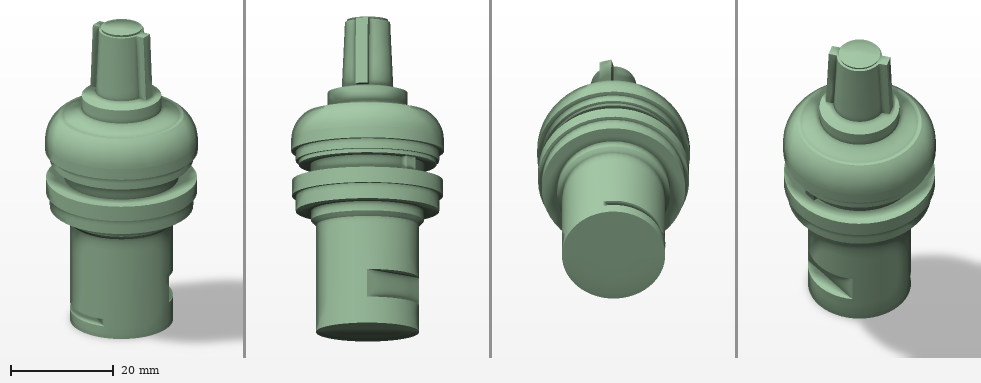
import cadquery as cq
import math

total_height = 62.05
cap_rim_z = 61.7
stem_top_z = 61.2
stem_bottom_z = 48.15
collar_top_z = 47.35
collar_bottom_z = 44.6
dome_top_z = 43.2
dome_bottom_z = 38.0
head_bottom_z = 35.75
upper_step_z = 33.8
lower_step_z = 33.1
flange_top_z = 30.0
flange_mid_z = 26.95
flange_bottom_z = 23.9
neck_chamfer_z = 22.05

cap_radius = 4.05
cap_neck_radius = 3.85
stem_top_radius = 4.4
stem_bottom_radius = 5.0
collar_radius = 7.75
cone_radius = 11.35
dome_top_radius = 12.1
head_radius = 14.865
upper_step_radius = 13.95
lower_step_radius = 13.4
groove_radius = 11.1
flange_radius = 14.7
flange_step_radius = 13.95
neck_radius = 11.0
body_radius = 10.05
neck_chamfer = neck_radius - body_radius

blade_width = 2.35
blade_angle = 36.0
blade_top_reach = 5.9
blade_bottom_reach = 6.45

tab_width = 2.5
tab_reach = 12.35
tab_bottom_z = 30.4

front_slot_bottom_z = 2.4
front_slot_height = 1.5
front_slot_floor = 6.45
rear_notch_bottom_z = 5.15
rear_notch_height = 5.45
rear_notch_floor = 7.25


def turned_body():
    dome_inset = head_radius - dome_top_radius
    dome_rise = dome_top_z - dome_bottom_z
    arc_radius = (dome_inset**2 + dome_rise**2) / (2 * dome_inset)
    half_sweep = math.asin(dome_rise / arc_radius) / 2
    dome_mid = (
        head_radius - arc_radius * (1 - math.cos(half_sweep)),
        dome_bottom_z + arc_radius * math.sin(half_sweep),
    )
    return (
        cq.Workplane("XZ")
        .moveTo(0, 0)
        .lineTo(body_radius, 0)
        .lineTo(body_radius, neck_chamfer_z - neck_chamfer)
        .lineTo(neck_radius, neck_chamfer_z)
        .lineTo(neck_radius, flange_bottom_z)
        .lineTo(flange_step_radius, flange_bottom_z)
        .lineTo(flange_step_radius, flange_mid_z)
        .lineTo(flange_radius, flange_mid_z)
        .lineTo(flange_radius, flange_top_z)
        .lineTo(groove_radius, flange_top_z)
        .lineTo(groove_radius, lower_step_z)
        .lineTo(lower_step_radius, lower_step_z)
        .lineTo(lower_step_radius, upper_step_z)
        .lineTo(upper_step_radius, upper_step_z)
        .lineTo(upper_step_radius, head_bottom_z)
        .lineTo(head_radius, head_bottom_z)
        .lineTo(head_radius, dome_bottom_z)
        .threePointArc(dome_mid, (dome_top_radius, dome_top_z))
        .lineTo(cone_radius, dome_top_z)
        .lineTo(collar_radius, collar_bottom_z)
        .lineTo(collar_radius, collar_top_z)
        .lineTo(stem_bottom_radius, stem_bottom_z)
        .lineTo(stem_top_radius, stem_top_z)
        .lineTo(cap_neck_radius, stem_top_z)
        .lineTo(cap_radius, cap_rim_z)
        .lineTo(0, total_height)
        .close()
        .revolve(360, (0, 0, 0), (0, 1, 0))
    )


def stem_blades():
    """One tapered plate through the stem axis forms both opposite blades."""
    return (
        cq.Workplane("XZ")
        .polyline([
            (-blade_bottom_reach, stem_bottom_z),
            (blade_bottom_reach, stem_bottom_z),
            (blade_top_reach, stem_top_z),
            (-blade_top_reach, stem_top_z),
        ])
        .close()
        .extrude(blade_width / 2, both=True)
        .rotate((0, 0, 0), (0, 0, 1), blade_angle)
    )


def locating_tab():
    height = lower_step_z - tab_bottom_z
    return (
        cq.Workplane("XY", origin=(0, 0, tab_bottom_z))
        .box(tab_width, tab_reach, height, centered=(True, False, False))
    )


def cross_cut(floor, bottom_z, height, side):
    """Cutter running along X, outside the flat floor; side is +1 or -1 along Y."""
    outer = 2 * body_radius
    return (
        cq.Workplane("XY", origin=(0, side * (floor + outer) / 2, bottom_z))
        .box(2 * outer, outer - floor, height, centered=(True, True, False))
    )


front_slot = cross_cut(front_slot_floor, front_slot_bottom_z, front_slot_height, -1)
rear_notch = cross_cut(rear_notch_floor, rear_notch_bottom_z, rear_notch_height, 1)

result = (
    turned_body()
    .union(stem_blades())
    .union(locating_tab())
    .cut(front_slot)
    .cut(rear_notch)
)